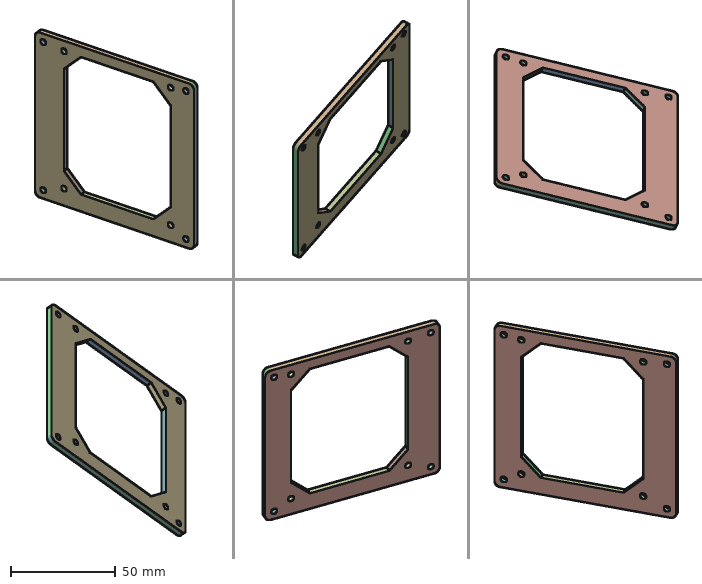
import cadquery as cq

plate_side = 92.0
plate_thickness = 3.0
corner_radius = 3.0

hole_diameter = 3.0
corner_hole_spacing = 82.5

window_width = 61.6
window_height = 76.5
window_corner_cut = 9.9
window_offset_x = 1.6
window_offset_z = 1.8


def rectangle_corners(width, height, center_x=0.0, center_z=0.0):
    """Return the four corner points of a rectangle in the XZ plane."""
    return [
        (center_x + side_x * width / 2, center_z + side_z * height / 2)
        for side_x in (-1, 1)
        for side_z in (-1, 1)
    ]


def centered_block(width, height, corner_treatment):
    """Return a block of plate thickness with treated edges along Y."""
    block = cq.Workplane("XY").box(width, plate_thickness, height)
    return corner_treatment(block.edges("|Y"))


def hole_pins(points):
    """Return cylinders along Y that cut through the plate at the points."""
    return (
        cq.Workplane("XZ")
        .pushPoints(points)
        .circle(hole_diameter / 2)
        .extrude(plate_thickness, both=True)
    )


plate = centered_block(plate_side, plate_side, lambda edges: edges.fillet(corner_radius))

window = centered_block(
    window_width, window_height, lambda edges: edges.chamfer(window_corner_cut)
).translate((window_offset_x, 0, window_offset_z))

corner_holes = rectangle_corners(corner_hole_spacing, corner_hole_spacing)

window_holes = rectangle_corners(
    window_width, window_height, window_offset_x, window_offset_z
)

result = plate.cut(window).cut(hole_pins(corner_holes + window_holes))